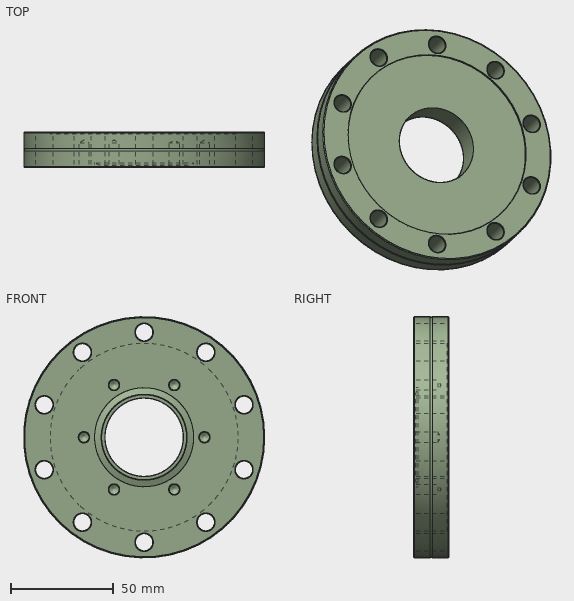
import cadquery as cq
import math

FLANGE_DIAMETER = 117.5
FLANGE_THICKNESS = 17.5
EDGE_CHAMFER = 0.5

RIM_GROOVE_WIDTH = 1.0
RIM_GROOVE_DEPTH = 0.2

BORE_DIAMETER = 38.1
RECESS_DIAMETER = 48.26
RECESS_DEPTH = 2.2
KNIFE_EDGE_DIAMETER = 41.9
KNIFE_EDGE_SLOPE = 20.0
KNIFE_FOOT_DIAMETER = 41.4
KNIFE_INNER_DEPTH = 1.3
BACK_RECESS_DIAMETER = 91.6
BACK_RECESS_DEPTH = 1.1

BOLT_HOLE_COUNT = 10
BOLT_HOLE_DIAMETER = 8.4
BOLT_CIRCLE_DIAMETER = 102.3
BOLT_HOLE_CHAMFER = 0.3

TAPPED_HOLE_COUNT = 6
TAPPED_HOLE_DIAMETER = 4.92
TAPPED_CIRCLE_DIAMETER = 58.7
TAPPED_HOLE_DEPTH = 12.0
TAPPED_HOLE_CHAMFER = 0.3
DRILL_POINT_ANGLE = 118.0

FRONT_Y = -FLANGE_THICKNESS / 2
BACK_Y = FLANGE_THICKNESS / 2


def revolve_about_y(profile_points):
    """Solid of revolution about Y from (radius, y) points."""
    return cq.Workplane("XY").polyline(profile_points).close().revolve(360, (0, 0, 0), (0, 1, 0))


def make_body():
    """Bored disc with chamfered rim edges, the knife-edge recess and the back recess."""
    outer_radius = FLANGE_DIAMETER / 2
    chamfered_radius = outer_radius - EDGE_CHAMFER
    bore_radius = BORE_DIAMETER / 2
    recess_radius = RECESS_DIAMETER / 2
    knife_radius = KNIFE_EDGE_DIAMETER / 2
    knife_foot_radius = KNIFE_FOOT_DIAMETER / 2
    back_recess_radius = BACK_RECESS_DIAMETER / 2
    recess_floor_y = FRONT_Y + RECESS_DEPTH
    knife_height = (recess_radius - knife_radius) * math.tan(math.radians(KNIFE_EDGE_SLOPE))
    inner_floor_y = FRONT_Y + KNIFE_INNER_DEPTH
    back_floor_y = BACK_Y - BACK_RECESS_DEPTH
    return revolve_about_y([
        (bore_radius, back_floor_y),
        (bore_radius, inner_floor_y),
        (knife_foot_radius, inner_floor_y),
        (knife_radius, recess_floor_y - knife_height),
        (recess_radius, recess_floor_y),
        (recess_radius, FRONT_Y),
        (chamfered_radius, FRONT_Y),
        (outer_radius, FRONT_Y + EDGE_CHAMFER),
        (outer_radius, BACK_Y - EDGE_CHAMFER),
        (chamfered_radius, BACK_Y),
        (back_recess_radius, BACK_Y),
        (back_recess_radius, back_floor_y),
    ])


def make_rim_groove():
    """Ring whose cross-section is a circle that dips into the rim by the groove depth."""
    half_width = RIM_GROOVE_WIDTH / 2
    section_radius = (half_width**2 + RIM_GROOVE_DEPTH**2) / (2 * RIM_GROOVE_DEPTH)
    ring_radius = FLANGE_DIAMETER / 2 - RIM_GROOVE_DEPTH + section_radius
    section = cq.Workplane("XY").center(ring_radius, 0).circle(section_radius)
    return section.revolve(360, (-ring_radius, 0, 0), (-ring_radius, 1, 0))


def ring_of(cutter, count, circle_diameter, start_angle):
    """Copies of a cutter on the Y axis, spread evenly round a circle."""
    copies = cq.Workplane("XY")
    for index in range(count):
        angle = math.radians(start_angle + index * 360 / count)
        x = circle_diameter / 2 * math.cos(angle)
        z = circle_diameter / 2 * math.sin(angle)
        copies = copies.add(cutter.translate((x, 0, z)))
    return copies.combine()


def make_bolt_holes():
    """Through holes, chamfered at both faces."""
    radius = BOLT_HOLE_DIAMETER / 2
    mouth_radius = radius + BOLT_HOLE_CHAMFER
    hole = revolve_about_y([
        (0, FRONT_Y),
        (mouth_radius, FRONT_Y),
        (radius, FRONT_Y + BOLT_HOLE_CHAMFER),
        (radius, BACK_Y - BOLT_HOLE_CHAMFER),
        (mouth_radius, BACK_Y),
        (0, BACK_Y),
    ])
    return ring_of(hole, BOLT_HOLE_COUNT, BOLT_CIRCLE_DIAMETER, 90)


def make_tapped_holes():
    """Blind front holes with a chamfered mouth and a drill-point bottom."""
    radius = TAPPED_HOLE_DIAMETER / 2
    shoulder_y = FRONT_Y + TAPPED_HOLE_DEPTH
    point_height = radius / math.tan(math.radians(DRILL_POINT_ANGLE / 2))
    hole = revolve_about_y([
        (0, FRONT_Y),
        (radius + TAPPED_HOLE_CHAMFER, FRONT_Y),
        (radius, FRONT_Y + TAPPED_HOLE_CHAMFER),
        (radius, shoulder_y),
        (0, shoulder_y + point_height),
    ])
    return ring_of(hole, TAPPED_HOLE_COUNT, TAPPED_CIRCLE_DIAMETER, 0)


result = (
    make_body()
    .cut(make_rim_groove())
    .cut(make_bolt_holes())
    .cut(make_tapped_holes())
)